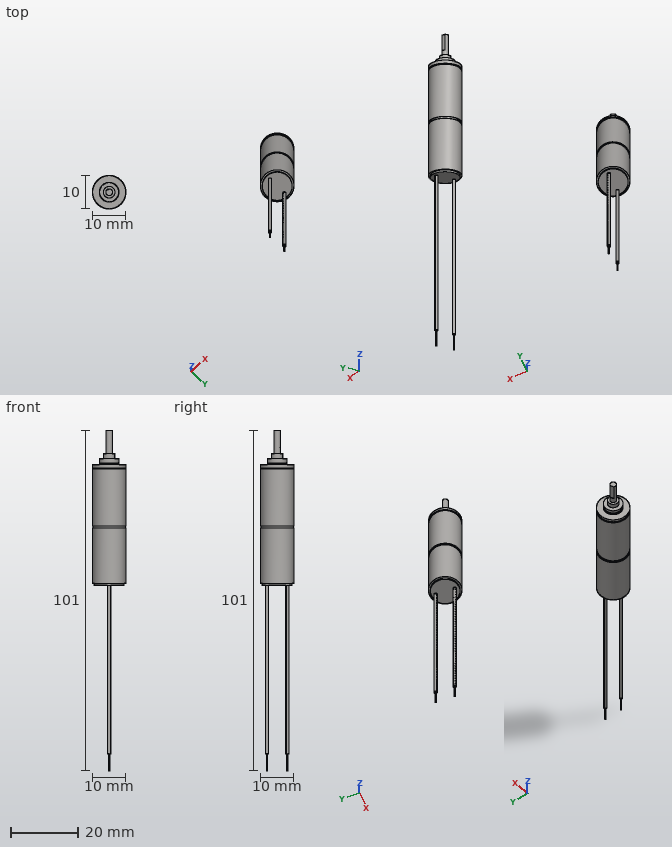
import cadquery as cq

total_height = 101.0
stripped_length = 5.0
motor_bottom = 55.0
can_bottom = 55.6
joint_bottom = 72.1
joint_top = 72.7
groove_bottom = 89.5
cover_bottom = 89.8
gearbox_top = 90.9
boss_groove_bottom = 91.1
boss_groove_top = 91.4
boss_top = 92.6
collar_top = 94.1

body_diameter = 10.0
body_radius = body_diameter / 2
groove_radius = 4.8
joint_radius = 4.8
motor_end_radius = 4.4
boss_radius = 2.9
boss_groove_radius = 2.7
collar_radius = 1.7
shaft_radius = 1.0

flat_length = 5.0
flat_distance = 0.8
flat_angle = 24

insulation_radius = 0.5
core_radius = 0.2
wire_offset = 3.0


def disc(radius, bottom, top):
    """Upright cylinder on the motor axis between two heights."""
    return cq.Workplane("XY").workplane(offset=bottom).circle(radius).extrude(top - bottom)


def make_shaft():
    """Output shaft seated through the gearbox boss, with a flat at its free end."""
    shaft = disc(shaft_radius, gearbox_top, total_height)
    flat_cutter = (
        cq.Workplane("XY")
        .workplane(offset=total_height - flat_length)
        .center(0, flat_distance + shaft_radius)
        .rect(4 * shaft_radius, 2 * shaft_radius)
        .extrude(flat_length)
    )
    return shaft.cut(flat_cutter).rotate((0, 0, 0), (0, 0, 1), flat_angle)


def make_gearbox():
    """Gearbox with a narrower joint ring below, and a grooved cover and shaft boss on top."""
    body = disc(joint_radius, joint_bottom, joint_top)
    body = body.union(disc(body_radius, joint_top, groove_bottom))
    body = body.union(disc(groove_radius, groove_bottom, cover_bottom))
    body = body.union(disc(body_radius, cover_bottom, gearbox_top))
    body = body.union(disc(boss_radius, gearbox_top, boss_groove_bottom))
    body = body.union(disc(boss_groove_radius, boss_groove_bottom, boss_groove_top))
    body = body.union(disc(boss_radius, boss_groove_top, boss_top))
    body = body.union(disc(collar_radius, boss_top, collar_top))
    shaft_hole = disc(shaft_radius, gearbox_top, collar_top)
    return body.cut(shaft_hole)


def make_motor():
    """Motor can with a stepped end."""
    end_step = disc(motor_end_radius, motor_bottom, can_bottom)
    return disc(body_radius, can_bottom, joint_bottom).union(end_step)


def make_insulation(y):
    """Insulation sleeve of one lead wire, butted against the motor end."""
    return (
        cq.Workplane("XY", origin=(0, y, stripped_length))
        .circle(insulation_radius)
        .circle(core_radius)
        .extrude(motor_bottom - stripped_length)
    )


def make_core(y):
    """Conductor of one lead wire, bare at its lower end."""
    return cq.Workplane("XY", origin=(0, y, 0)).circle(core_radius).extrude(motor_bottom)


shaft = make_shaft()
gearbox = make_gearbox()
motor = make_motor()

wire_solids = []
for wire_y in (-wire_offset, wire_offset):
    wire_solids.append(make_insulation(wire_y).val())
    wire_solids.append(make_core(wire_y).val())

result = cq.Compound.makeCompound([shaft.val(), gearbox.val(), motor.val(), *wire_solids])